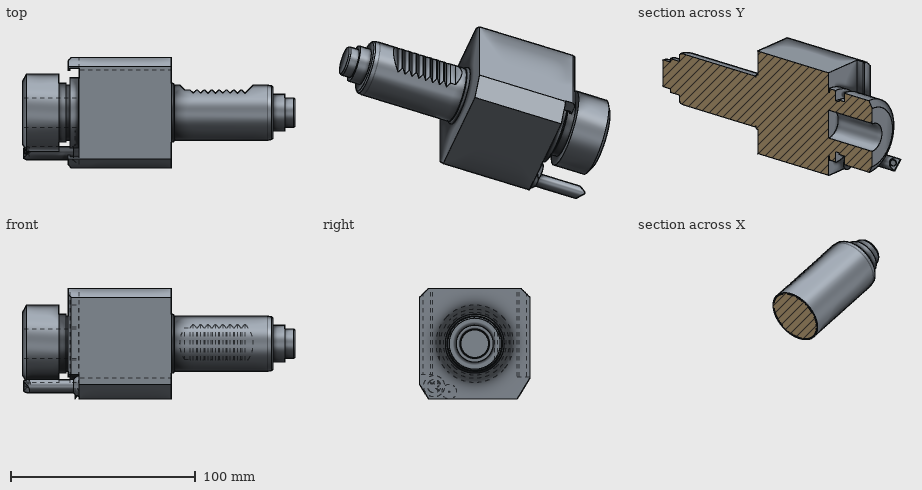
import cadquery as cq
import math


BODY_SIZE = 60.0
HALF_BODY = BODY_SIZE / 2
RECESS_FACE_X = -50.0
WALL_FRONT_X = -56.0
TOP_CHAMFER = 5.0
LEFT_BEVEL_WIDTH = 7.0
LEFT_BEVEL_HEIGHT = 11.5
RIGHT_BEVEL_WIDTH = 5.0
RIGHT_BEVEL_HEIGHT = 8.0

WALL_INNER_Y = 24.0
LIP_INNER_Y = 22.9
LIP_THICKNESS = 1.0
LIP_REAR_X = WALL_FRONT_X + LIP_THICKNESS
WALL_CHAMFER_LENGTH = 1.7
WALL_CHAMFER_WIDTH = 2.0
LEFT_WALL_BOTTOM_Z = -18.0
RIGHT_WALL_BOTTOM_Z = -16.7

NUT_FRONT_X = -80.7
NUT_REAR_X = -61.0
NUT_RADIUS = 21.0
NUT_FACE_RADIUS = 17.0
NUT_CHAMFER_LENGTH = 2.3
NECK_RADIUS = 16.0
NECK_REAR_X = -57.0
GROOVE_RADIUS = 15.0
FLANGE_RADIUS = 21.0
FLANGE_WIDTH = 38.0
FLANGE_GAP = 0.4
FLANGE_REAR_X = RECESS_FACE_X - FLANGE_GAP
FLANGE_SEAT_RADIUS = 18.7
BORE_RADIUS = 8.0
BORE_DEPTH = RECESS_FACE_X - NUT_FRONT_X

OVERALL_LENGTH = 147.66
SHANK_END_X = NUT_FRONT_X + OVERALL_LENGTH
SHANK_RADIUS = 15.0
RING_OUTER_RADIUS = 16.0
RING_SECTION_RADIUS = 1.1
RING_CENTER_X = 0.35
RING_GROOVE_END_X = 1.75
RING_GROOVE_DEPTH = 0.5
TAPER_START_X = 52.0
TAPER_END_X = 54.3
TAPER_END_RADIUS = 14.6
SHANK_SHOULDER_X = 55.1
SHANK_SHOULDER_RADIUS = 13.8
JOURNAL_RADIUS = 10.0
JOURNAL_END_X = 61.4
TIP_RADIUS = 8.0
TIP_CHAMFER_LENGTH = 0.9
TIP_CHAMFER_DEPTH = 0.5

TOOTH_COUNT = 8
TOOTH_PITCH = 4.0
FIRST_ROOT_X = 11.8
CREST_Y = 12.3
ROOT_Y = 10.6
FLAT_START_X = 7.2
CUTTER_CLEARANCE = 2.0

NOZZLE_Y = -22.0
NOZZLE_Z = -23.0
NOZZLE_RADIUS = 3.6
NOZZLE_FRONT_X = -80.1
BALL_RADIUS = 6.0
BALL_X = -48.3
RIDGE_WIDTH = 0.5
NOZZLE_TURN = -45.0
JET_RADIUS = 1.7
JET_DEPTH = 1.2
JET_OFFSET = 2.0

PLUG_Y = -13.8
PLUG_Z = -26.0
PLUG_RADIUS = 4.0
PLUG_HEIGHT = 2.2
PLUG_CONE_HALF_ANGLE = 59.0


def box_between(x_range, y_range, z_range):
    """Axis-aligned box from its limits along X, Y and Z."""
    size = [high - low for low, high in (x_range, y_range, z_range)]
    corner = (x_range[0], y_range[0], z_range[0])
    return cq.Workplane("XY").box(*size, centered=False).translate(corner)


def revolve_about_x(profile):
    """Solid of revolution about X from (x, radius) points that start and end on the axis."""
    return cq.Workplane("XY").polyline(profile).close().revolve(360, (0, 0), (1, 0))


def make_body():
    """Square body with bevelled long edges, a front recess and two lipped walls."""
    outline = [
        (HALF_BODY - TOP_CHAMFER, HALF_BODY),
        (HALF_BODY, HALF_BODY - TOP_CHAMFER),
        (HALF_BODY, -HALF_BODY + LEFT_BEVEL_HEIGHT),
        (HALF_BODY - LEFT_BEVEL_WIDTH, -HALF_BODY),
        (-HALF_BODY + RIGHT_BEVEL_WIDTH, -HALF_BODY),
        (-HALF_BODY, -HALF_BODY + RIGHT_BEVEL_HEIGHT),
        (-HALF_BODY, HALF_BODY - TOP_CHAMFER),
        (-HALF_BODY + TOP_CHAMFER, HALF_BODY),
    ]
    blank = cq.Workplane("YZ").polyline(outline).close().extrude(WALL_FRONT_X)

    plan = [
        (0, HALF_BODY),
        (WALL_FRONT_X + WALL_CHAMFER_LENGTH, HALF_BODY),
        (WALL_FRONT_X, HALF_BODY - WALL_CHAMFER_WIDTH),
        (WALL_FRONT_X, LIP_INNER_Y),
        (LIP_REAR_X, LIP_INNER_Y),
        (LIP_REAR_X, WALL_INNER_Y),
        (RECESS_FACE_X, WALL_INNER_Y),
        (RECESS_FACE_X, 0),
        (0, 0),
    ]
    half_plan = cq.Workplane("XY").polyline(plan).close().extrude(HALF_BODY, both=True)
    body = blank.intersect(half_plan.union(half_plan.mirror("XZ")))

    front = (WALL_FRONT_X, RECESS_FACE_X)
    below_left_wall = box_between(front, (0, HALF_BODY), (-HALF_BODY, LEFT_WALL_BOTTOM_Z))
    below_right_wall = box_between(front, (-HALF_BODY, 0), (-HALF_BODY, RIGHT_WALL_BOTTOM_Z))
    return body.cut(below_left_wall).cut(below_right_wall)


def make_flange():
    """Round flange with two flats, held just clear of the recess face by a smaller seat."""
    length = FLANGE_REAR_X - LIP_REAR_X
    seat_length = RECESS_FACE_X - FLANGE_REAR_X
    disc = cq.Workplane("YZ", origin=(LIP_REAR_X, 0, 0)).circle(FLANGE_RADIUS).extrude(length)
    flats = box_between(
        (LIP_REAR_X, FLANGE_REAR_X),
        (-FLANGE_WIDTH / 2, FLANGE_WIDTH / 2),
        (-FLANGE_RADIUS, FLANGE_RADIUS),
    )
    seat_plane = cq.Workplane("YZ", origin=(FLANGE_REAR_X, 0, 0))
    seat = seat_plane.circle(FLANGE_SEAT_RADIUS).extrude(seat_length)
    return disc.intersect(flats).union(seat)


def make_nut():
    """Clamping nut with its stepped neck, the flange behind it and a blind bore."""
    nut = revolve_about_x([
        (NUT_FRONT_X, 0),
        (NUT_FRONT_X, NUT_FACE_RADIUS),
        (NUT_FRONT_X + NUT_CHAMFER_LENGTH, NUT_RADIUS),
        (NUT_REAR_X, NUT_RADIUS),
        (NUT_REAR_X, NECK_RADIUS),
        (NECK_REAR_X, NECK_RADIUS),
        (NECK_REAR_X, GROOVE_RADIUS),
        (LIP_REAR_X, GROOVE_RADIUS),
        (LIP_REAR_X, 0),
    ])
    return nut.union(make_flange()).cut(make_bore())


def make_bore():
    """Cylinder that opens the tool bore from the front of the nut."""
    return cq.Workplane("YZ", origin=(NUT_FRONT_X, 0, 0)).circle(BORE_RADIUS).extrude(BORE_DEPTH)


def make_serration_cutter():
    """Cutter for the flat with 45 degree ends and its row of 90 degree V grooves."""
    outer_y = SHANK_RADIUS + CUTTER_CLEARANCE
    half_groove = CREST_Y - ROOT_Y
    last_root_x = FIRST_ROOT_X + (TOOTH_COUNT - 1) * TOOTH_PITCH
    outline = [
        (FLAT_START_X - (outer_y - CREST_Y), outer_y),
        (FLAT_START_X, CREST_Y),
    ]
    for index in range(TOOTH_COUNT):
        root_x = FIRST_ROOT_X + index * TOOTH_PITCH
        outline.append((root_x - half_groove, CREST_Y))
        outline.append((root_x, ROOT_Y))
        if index < TOOTH_COUNT - 1:
            outline.append((root_x + half_groove, CREST_Y))
    outline.append((last_root_x + outer_y - ROOT_Y, outer_y))
    return cq.Workplane("XY").polyline(outline).close().extrude(SHANK_RADIUS, both=True)


def make_sealing_ring():
    """Round-section ring in the groove between the body and the shank."""
    center_radius = RING_OUTER_RADIUS - RING_SECTION_RADIUS
    section = cq.Workplane("XY").moveTo(RING_CENTER_X, center_radius).circle(RING_SECTION_RADIUS)
    return section.revolve(360, (0, 0), (1, 0))


def make_shank():
    """Stepped cylindrical shank with a sealing ring and the serrated flat."""
    groove_radius = SHANK_RADIUS - RING_GROOVE_DEPTH
    shank = revolve_about_x([
        (0, 0),
        (0, groove_radius),
        (RING_GROOVE_END_X, groove_radius),
        (RING_GROOVE_END_X, SHANK_RADIUS),
        (TAPER_START_X, SHANK_RADIUS),
        (TAPER_END_X, TAPER_END_RADIUS),
        (SHANK_SHOULDER_X, SHANK_SHOULDER_RADIUS),
        (SHANK_SHOULDER_X, JOURNAL_RADIUS),
        (JOURNAL_END_X, JOURNAL_RADIUS),
        (JOURNAL_END_X, TIP_RADIUS),
        (SHANK_END_X - TIP_CHAMFER_LENGTH, TIP_RADIUS),
        (SHANK_END_X, TIP_RADIUS - TIP_CHAMFER_DEPTH),
        (SHANK_END_X, 0),
    ])
    return shank.cut(make_serration_cutter()).union(make_sealing_ring())


def make_nozzle():
    """Ball and tube; two 45 degree bevels meet at a narrow ridge on the tube's tip."""
    ball = cq.Workplane("XY").sphere(BALL_RADIUS).translate((BALL_X, 0, 0))
    bevel = NOZZLE_RADIUS - RIDGE_WIDTH / 2
    tube = (
        cq.Workplane("XZ")
        .moveTo(NOZZLE_FRONT_X, RIDGE_WIDTH / 2)
        .lineTo(NOZZLE_FRONT_X + bevel, NOZZLE_RADIUS)
        .lineTo(BALL_X, NOZZLE_RADIUS)
        .lineTo(BALL_X, -NOZZLE_RADIUS)
        .lineTo(NOZZLE_FRONT_X + bevel, -NOZZLE_RADIUS)
        .lineTo(NOZZLE_FRONT_X, -RIDGE_WIDTH / 2)
        .close()
        .extrude(NOZZLE_RADIUS, both=True)
    )
    rod_length = BALL_X - NOZZLE_FRONT_X
    rod = cq.Workplane("YZ", origin=(NOZZLE_FRONT_X, 0, 0)).circle(NOZZLE_RADIUS).extrude(rod_length)

    jet_x = NOZZLE_FRONT_X + JET_OFFSET - RIDGE_WIDTH / 2
    jet_start = cq.Vector(jet_x, 0, JET_OFFSET)
    inward = cq.Vector(1, 0, -1)
    jet = cq.Workplane(cq.Solid.makeCylinder(JET_RADIUS, JET_DEPTH, jet_start, inward))

    nozzle = tube.intersect(rod).cut(jet).union(ball)
    nozzle = nozzle.rotate((0, 0, 0), (1, 0, 0), NOZZLE_TURN)
    return nozzle.translate((0, NOZZLE_Y, NOZZLE_Z))


def make_plug():
    """Flared plug head with a conical underside, standing on the recess face."""
    seat = cq.Vector(RECESS_FACE_X, PLUG_Y, PLUG_Z)
    outward = cq.Vector(-1, 0, 0)
    seat_radius = PLUG_RADIUS - PLUG_HEIGHT * math.tan(math.radians(PLUG_CONE_HALF_ANGLE))
    return cq.Workplane(cq.Solid.makeCone(seat_radius, PLUG_RADIUS, PLUG_HEIGHT, seat, outward))


result = make_body().union(make_nut()).union(make_shank()).union(make_nozzle()).union(make_plug())